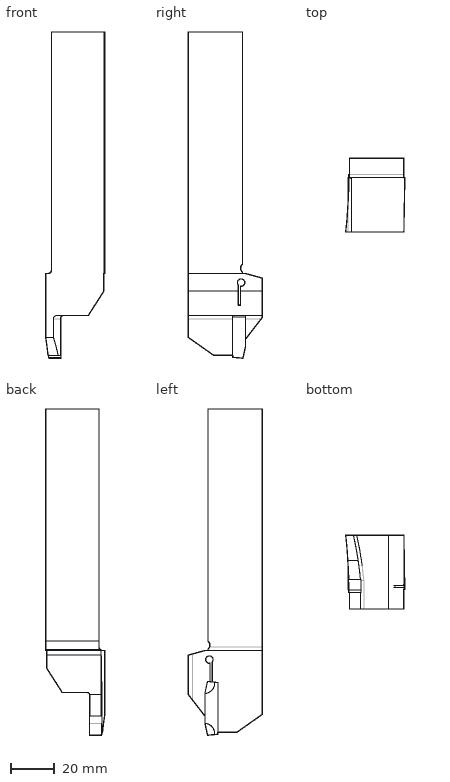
import cadquery as cq

total_height = 150.0
shank_depth = 25.0
shank_left = 0.0
shank_right_front = 24.2
shank_right_rear = 24.6
waist_y = 24.2
slope_start_y = 26.4
waist_bottom, waist_mid, waist_top = 39.0, 41.1, 43.4

head_depth = 34.0
head_left = -2.7
head_left_mid, head_left_rear = -1.5, -0.9
curve_mid_y, curve_end_y = 13.5, 32.1
head_right = 24.2
head_top = 39.0
head_top_rear = 36.9
head_fillet = 1.6
shoulder_z = 19.6
side_chamfer_top = 30.9
side_chamfer_x = 17.0

blade_bottom = 1.4
blade_inner_front, blade_inner_mid, blade_inner_rear = 0.9, 3.2, 4.2
blade_inner_mid_y, blade_inner_end_y = 12.0, 21.0
blade_fillet = 1.5
front_chamfer_y, front_chamfer_z = 11.7, 9.6
jaw_corner_z = 18.8
jaw_tip_z = 8.8

insert_left, insert_right = -1.4, 4.5
insert_front, insert_rear = 20.4, 26.4
insert_height = 24.8
end_relief = 0.5
edge_y = 25.2
nose_height = 5.5
relief_depth = 0.3
relief_edge_y = 21.9
relief_mid_y, relief_mid_z = 23.7, 4.5
slit_front, slit_rear = 23.1, 24.0
slit_hole_y, slit_hole_z = 24.3, 34.8
slit_hole_radius = 1.6

span_start, span_length = -7.5, 45.0

pick_margin = 0.2


def side_sketch(x):
    """Sketch plane facing +X, with local axes Y and Z."""
    return cq.Workplane("YZ", origin=(x, 0, 0))


def make_shank():
    shank = (
        cq.Workplane("XY", origin=(0, 0, shoulder_z))
        .polyline([
            (shank_left, 0),
            (shank_right_front, 0),
            (shank_right_rear, shank_depth),
            (shank_left, shank_depth),
        ])
        .close()
        .extrude(total_height - shoulder_z)
    )
    flush_cut = (
        cq.Workplane("XY", origin=(head_right, 0, shoulder_z))
        .box(span_length, head_depth, head_top - shoulder_z, centered=False)
    )
    return shank.cut(flush_cut).cut(chamfer_space())


def chamfer_space():
    """Space removed from the lower right corner of the head."""
    return (
        cq.Workplane("XZ")
        .polyline([
            (side_chamfer_x, shoulder_z),
            (head_right, side_chamfer_top),
            (span_length, side_chamfer_top),
            (span_length, shoulder_z),
        ])
        .close()
        .extrude(-head_depth)
    )


def curved_plan(bottom):
    """Start of the head plan: its curved left side, from front to rear."""
    return (
        cq.Workplane("XY", origin=(0, 0, bottom))
        .moveTo(head_left, 0)
        .threePointArc((head_left_mid, curve_mid_y), (head_left_rear, curve_end_y))
        .lineTo(head_left_rear, head_depth)
    )


def make_head():
    head = (
        curved_plan(shoulder_z)
        .lineTo(head_right, head_depth)
        .lineTo(head_right, 0)
        .close()
        .extrude(head_top - shoulder_z)
    )
    return head.cut(chamfer_space())


def make_blade():
    return (
        curved_plan(blade_bottom)
        .lineTo(blade_inner_rear, head_depth)
        .lineTo(blade_inner_rear, blade_inner_end_y)
        .threePointArc((blade_inner_mid, blade_inner_mid_y), (blade_inner_front, 0))
        .close()
        .extrude(shoulder_z - blade_bottom)
    )


def make_side_envelope():
    """Side outline shared by the shank, head and blade."""
    return (
        side_sketch(span_start)
        .moveTo(0, front_chamfer_z)
        .lineTo(front_chamfer_y, blade_bottom)
        .lineTo(insert_front, blade_bottom)
        .lineTo(insert_front, jaw_tip_z)
        .lineTo(insert_rear, jaw_tip_z)
        .lineTo(head_depth, jaw_corner_z)
        .lineTo(head_depth, head_top_rear)
        .lineTo(slope_start_y, waist_bottom)
        .threePointArc((waist_y, waist_mid), (shank_depth, waist_top))
        .lineTo(shank_depth, total_height)
        .lineTo(0, total_height)
        .close()
        .extrude(span_length)
    )


def make_step_fillet():
    """Concave fillet between the left side of the shank and the top of the head."""
    corner = shank_left - head_fillet
    bend = head_fillet * (1 - 0.5 ** 0.5)
    return (
        cq.Workplane("XZ")
        .moveTo(corner, head_top)
        .threePointArc((shank_left - bend, head_top + bend), (shank_left, head_top + head_fillet))
        .lineTo(shank_left, head_top)
        .close()
        .extrude(-shank_depth)
    )


def insert_blank():
    """Insert outline with a sloping nose at each end."""
    return (
        side_sketch(insert_left)
        .polyline([
            (insert_front, end_relief),
            (edge_y, 0),
            (insert_rear, nose_height),
            (insert_rear, insert_height - nose_height),
            (edge_y, insert_height),
            (insert_front, insert_height - end_relief),
        ])
        .close()
        .extrude(insert_right - insert_left)
    )


def make_clamping_slit():
    slit = (
        side_sketch(span_start)
        .moveTo(slit_front, insert_height - end_relief)
        .lineTo(slit_rear, insert_height - end_relief)
        .lineTo(slit_rear, slit_hole_z)
        .lineTo(slit_front, slit_hole_z)
        .close()
        .extrude(span_length)
    )
    hole = (
        side_sketch(span_start)
        .center(slit_hole_y, slit_hole_z)
        .circle(slit_hole_radius)
        .extrude(span_length)
    )
    return slit.union(hole)


def make_holder():
    body = make_head().union(make_blade())
    body = body.edges(cq.selectors.BoxSelector(
        (blade_inner_front - pick_margin, -pick_margin, shoulder_z - pick_margin),
        (blade_inner_rear + pick_margin, blade_inner_end_y, shoulder_z + pick_margin),
    )).fillet(blade_fillet)
    body = body.union(make_shank()).union(make_step_fillet())
    body = body.intersect(make_side_envelope())
    return body.cut(insert_blank()).cut(make_clamping_slit()).solids()


def nose_relief():
    """Shallow curved relief on the left side of the lower nose."""
    return (
        side_sketch(insert_left)
        .moveTo(relief_edge_y, 0)
        .threePointArc((relief_mid_y, relief_mid_z), (insert_rear, nose_height))
        .lineTo(insert_rear, 0)
        .close()
        .extrude(relief_depth)
    )


def make_insert():
    lower_relief = nose_relief()
    upper_relief = lower_relief.mirror("XY", (0, 0, insert_height / 2))
    return insert_blank().cut(lower_relief).cut(upper_relief).solids()


holder = make_holder()
insert = make_insert()
result = cq.Compound.makeCompound([holder.val(), insert.val()])